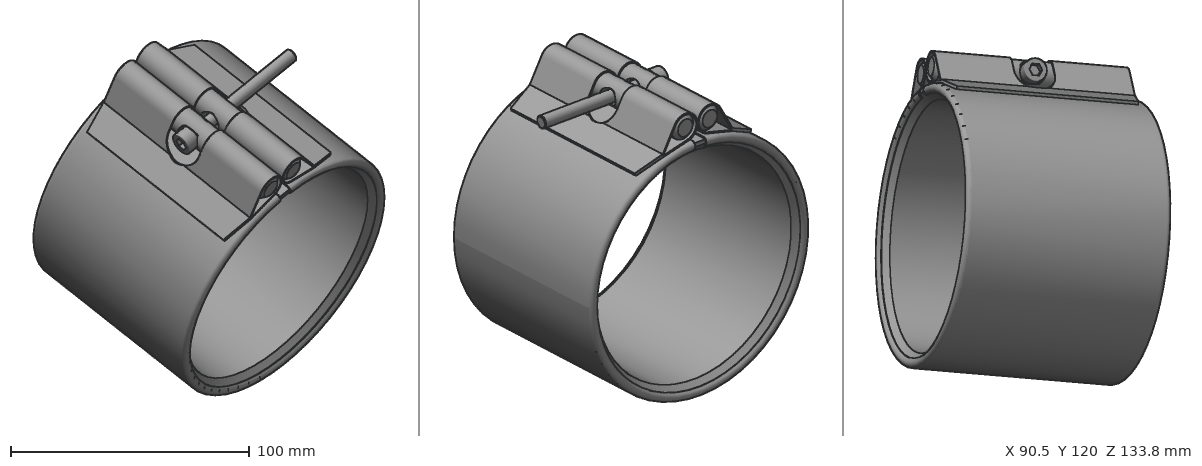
import cadquery as cq
import math


BAND_RADIUS = 60.0
BAND_SHEET = 0.6
BAND_LENGTH = 90.5
RIM_RADIUS = 2.0
RIM_BEND = 135.0
RIM_LIP_RADIUS = 55.7
BAND_GAP = 6.0

GASKET_BORE = 106.8

LUG_LENGTH = 86.0
LUG_SHEET = 0.7
PLATE_TILT = 24.65
PLATE_HALF_WIDTH = 7.1
PLATE_TAPER = 2.9
UNDERLAP_TILT = 13.5
WINDOW_WIDTH = 18.0
WINDOW_OVERRUN = 1.0
WINDOW_UNDERCUT = 3.0

PIN_DIAMETER = 12.0
PIN_OFFSET = 6.75
TOP_HEIGHT = 73.77
PIN_CHAMFER = 2.0
COUNTERSINK = 10.0

SCREW_DIAMETER = 5.85
SCREW_TIP_DIAMETER = 5.0
SCREW_CLEARANCE = 7.0
SCREW_LENGTH = 60.0
HEAD_DIAMETER = 10.0
HEAD_HEIGHT = 6.0
HEAD_EDGE = 0.25
HEAD_RECESS = 11.5
HEAD_RECESS_DEPTH = 2.2
HEX_FLATS = 5.0
HEX_DEPTH = 3.0

PIN_RADIUS = PIN_DIAMETER / 2
LOOP_RADIUS = PIN_RADIUS + LUG_SHEET
PIN_HEIGHT = TOP_HEIGHT - LOOP_RADIUS
HEAD_SEAT = -PIN_OFFSET - PIN_RADIUS + HEAD_RECESS_DEPTH


def polar(center, radius, degrees):
    """Point at a radius and angle from a centre."""
    angle = math.radians(degrees)
    return (center[0] + radius * math.cos(angle), center[1] + radius * math.sin(angle))


def make_band():
    bend_center = (RIM_RADIUS - BAND_LENGTH / 2, BAND_RADIUS - RIM_RADIUS)
    inner_bend = RIM_RADIUS - BAND_SHEET
    bend_middle = 90 + RIM_BEND / 2
    bend_end = 90 + RIM_BEND
    outer_end = polar(bend_center, RIM_RADIUS, bend_end)
    inner_end = polar(bend_center, inner_bend, bend_end)
    lip_length = (outer_end[1] - RIM_LIP_RADIUS) / math.sin(math.radians(180 - RIM_BEND))
    half = (
        cq.Workplane("XY")
        .moveTo(0, BAND_RADIUS)
        .lineTo(bend_center[0], BAND_RADIUS)
        .threePointArc(polar(bend_center, RIM_RADIUS, bend_middle), outer_end)
        .lineTo(*polar(outer_end, lip_length, bend_end + 90))
        .lineTo(*polar(inner_end, lip_length, bend_end + 90))
        .lineTo(*inner_end)
        .threePointArc(polar(bend_center, inner_bend, bend_middle), (bend_center[0], BAND_RADIUS - BAND_SHEET))
        .lineTo(0, BAND_RADIUS - BAND_SHEET)
        .close()
        .revolve(360, (0, 0, 0), (1, 0, 0))
    )
    gap = cq.Workplane("XY").box(BAND_LENGTH, BAND_GAP, BAND_RADIUS, centered=(True, True, False))
    gap = gap.translate((0, 0, BAND_RADIUS / 2))
    return half.union(half.mirror("YZ")).cut(gap)


def make_gasket(band):
    end = BAND_LENGTH / 2 - BAND_SHEET
    bore = GASKET_BORE / 2
    bend_x = BAND_LENGTH / 2 - RIM_RADIUS
    lip_turn = math.radians(RIM_BEND)
    inner_bend = RIM_RADIUS - BAND_SHEET
    lip_x = bend_x + inner_bend * math.sin(lip_turn)
    lip_radius = BAND_RADIUS - RIM_RADIUS + inner_bend * math.cos(lip_turn)
    slope = -math.tan(lip_turn)
    cone_radius = lip_radius + (end - lip_x) * slope
    cone_start = end - (cone_radius - bore) / slope
    sleeve = (
        cq.Workplane("XY")
        .polyline(
            [
                (-end, BAND_RADIUS - BAND_SHEET),
                (end, BAND_RADIUS - BAND_SHEET),
                (end, cone_radius),
                (cone_start, bore),
                (-cone_start, bore),
                (-end, cone_radius),
            ]
        )
        .close()
        .revolve(360, (0, 0, 0), (1, 0, 0))
    )
    return sleeve.cut(band)


def plate_point(distance, along):
    """Point in (Y, Z) on a line parallel to the welded plate of the rear lug."""
    foot = polar((0, 0), distance, 90 - PLATE_TILT)
    return polar(foot, along, -PLATE_TILT)


def meet(start, start_degrees, other, other_degrees):
    """Crossing of two lines, each given by a point and a direction."""
    a = math.radians(start_degrees)
    b = math.radians(other_degrees)
    dy = other[0] - start[0]
    dz = other[1] - start[1]
    step = (dy * math.sin(b) - dz * math.cos(b)) / math.sin(b - a)
    return polar(start, step, start_degrees)


PIN_CENTER = (PIN_OFFSET, PIN_HEIGHT)
BEND = plate_point(BAND_RADIUS + 2 * LUG_SHEET, -PLATE_HALF_WIDTH)
LEG_NORMAL = math.degrees(
    math.atan2(BEND[1] - PIN_CENTER[1], BEND[0] - PIN_CENTER[0])
    + math.acos(LOOP_RADIUS / math.dist(BEND, PIN_CENTER))
)
UNDER_NORMAL = -90 - UNDERLAP_TILT


def loop_outline(radius, *corners):
    """Solid around the pin, outlined from the underlap over the top to the leg and the corners."""
    outline = (
        cq.Workplane("YZ", origin=(-LUG_LENGTH / 2, 0, 0))
        .moveTo(*polar(PIN_CENTER, radius, UNDER_NORMAL))
        .threePointArc(polar(PIN_CENTER, radius, 150), polar(PIN_CENTER, radius, LEG_NORMAL))
    )
    for corner in corners:
        outline = outline.lineTo(*corner)
    return outline.close().extrude(LUG_LENGTH)


def make_lug():
    """Lug on the +Y side."""
    under_point = polar(PIN_CENTER, LOOP_RADIUS, UNDER_NORMAL)
    under_bend = meet(under_point, -UNDERLAP_TILT, plate_point(BAND_RADIUS, 0), -PLATE_TILT)
    lug = loop_outline(
        LOOP_RADIUS,
        BEND,
        plate_point(BAND_RADIUS + 2 * LUG_SHEET, PLATE_HALF_WIDTH),
        plate_point(BAND_RADIUS, PLATE_HALF_WIDTH),
        under_bend,
    )
    leg_inside = polar(PIN_CENTER, PIN_RADIUS, LEG_NORMAL)
    under_inside = polar(PIN_CENTER, PIN_RADIUS, UNDER_NORMAL)
    apex = meet(leg_inside, LEG_NORMAL - 90, under_inside, -UNDERLAP_TILT)
    lug = lug.cut(loop_outline(PIN_RADIUS, apex))

    edge_y = plate_point(BAND_RADIUS + 2 * LUG_SHEET, PLATE_HALF_WIDTH)[0]
    half = LUG_LENGTH / 2
    taper = (
        cq.Workplane("XY")
        .polyline([(half, BEND[0]), (half, edge_y), (half - PLATE_TAPER, edge_y)])
        .close()
        .extrude(TOP_HEIGHT)
    )
    lug = lug.cut(taper).cut(taper.mirror("YZ"))

    under_sheet = (
        cq.Workplane("YZ", origin=(-half, 0, 0))
        .polyline(
            [
                polar(under_point, WINDOW_UNDERCUT, -UNDERLAP_TILT),
                polar(under_inside, WINDOW_UNDERCUT, -UNDERLAP_TILT),
                apex,
                plate_point(BAND_RADIUS + LUG_SHEET, PLATE_HALF_WIDTH),
                plate_point(BAND_RADIUS, PLATE_HALF_WIDTH),
                under_bend,
            ]
        )
        .close()
        .extrude(LUG_LENGTH)
    )
    normal = math.radians(LEG_NORMAL)
    frame = cq.Plane(
        origin=(0, *BEND), xDir=(-1, 0, 0), normal=(0, math.cos(normal), math.sin(normal))
    )
    window_radius = WINDOW_WIDTH / 2
    reach = 4 * LOOP_RADIUS
    window = (
        cq.Workplane(frame)
        .moveTo(-window_radius, reach)
        .lineTo(-window_radius, window_radius - WINDOW_OVERRUN)
        .threePointArc((0, -WINDOW_OVERRUN), (window_radius, window_radius - WINDOW_OVERRUN))
        .lineTo(window_radius, reach)
        .close()
        .extrude(reach, both=True)
    )
    return lug.cut(window.cut(under_sheet))


def along_y(diameter, start, end):
    """Cylinder on the screw's axis between two Y positions."""
    frame = cq.Plane(origin=(0, start, PIN_HEIGHT), xDir=(1, 0, 0), normal=(0, 1, 0))
    return cq.Workplane(frame).circle(diameter / 2).extrude(end - start)


def countersink(face_y, inward, hole):
    """Right-angled cone that opens a hole at a pin's face, going inwards along Y."""
    cone = cq.Solid.makeCone(
        COUNTERSINK / 2,
        hole / 2,
        (COUNTERSINK - hole) / 2,
        cq.Vector(0, face_y, PIN_HEIGHT),
        cq.Vector(0, inward, 0),
    )
    return cq.Workplane(cone)


def make_pin(side, hole):
    center_y = side * PIN_OFFSET
    frame = cq.Workplane("YZ", origin=(-LUG_LENGTH / 2, center_y, PIN_HEIGHT))
    pin = frame.circle(PIN_RADIUS).extrude(LUG_LENGTH).edges("%CIRCLE").chamfer(PIN_CHAMFER)
    pin = pin.cut(along_y(hole, center_y - PIN_DIAMETER, center_y + PIN_DIAMETER))
    return pin.cut(countersink(center_y - side * PIN_RADIUS, side, hole))


def make_front_pin():
    pin = make_pin(-1, SCREW_CLEARANCE)
    return pin.cut(along_y(HEAD_RECESS, HEAD_SEAT - HEAD_HEIGHT, HEAD_SEAT))


def make_rear_pin():
    pin = make_pin(1, SCREW_DIAMETER)
    return pin.cut(countersink(PIN_OFFSET + PIN_RADIUS, -1, SCREW_DIAMETER))


def make_screw():
    head_face = HEAD_SEAT - HEAD_HEIGHT
    head = along_y(HEAD_DIAMETER, head_face, HEAD_SEAT).faces("<Y").edges().fillet(HEAD_EDGE)
    shank = along_y(SCREW_DIAMETER, HEAD_SEAT, HEAD_SEAT + SCREW_LENGTH)
    shank = shank.faces(">Y").chamfer((SCREW_DIAMETER - SCREW_TIP_DIAMETER) / 2)
    frame = cq.Plane(origin=(0, head_face, PIN_HEIGHT), xDir=(1, 0, 0), normal=(0, 1, 0))
    hex_corners = HEX_FLATS / math.cos(math.radians(30))
    socket = cq.Workplane(frame).polygon(6, hex_corners).extrude(HEX_DEPTH)
    return head.union(shank).cut(socket)


band = make_band()
gasket = make_gasket(band)
rear_lug = make_lug()
front_lug = rear_lug.mirror("XZ")
front_pin = make_front_pin()
rear_pin = make_rear_pin()
screw = make_screw()

result = cq.Compound.makeCompound(
    [
        band.val(),
        gasket.val(),
        rear_lug.val(),
        front_lug.val(),
        front_pin.val(),
        rear_pin.val(),
        screw.val(),
    ]
)